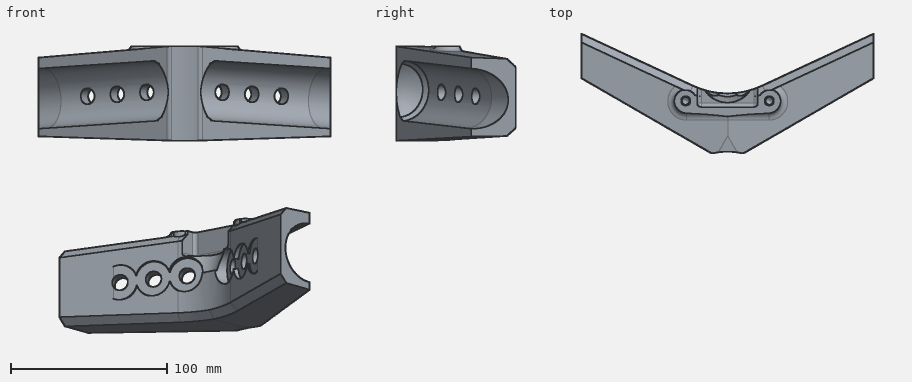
import cadquery as cq
import math

ARM_REACH = 150.0
REAR_REACH = 22.5
MARGIN = 0.2

HALF_LENGTH = 93.7
HEIGHT = 60.7
FRONT_ANGLE = math.radians(30)
BACK_ANGLE = math.radians(25)
FRONT_VERTEX_X = 10.5
REAR_TIP_Y = 76.7
REAR_ARC_RADIUS = 52.5
REAR_CHAMFER = 5.0
NOSE_CORNER_X = 10.0
NOSE_GROOVE_Y = 1.0
NOSE_FILLET = 3.7

TOP_SLOPE = math.tan(math.radians(4.2))
BOTTOM_SLOPE = math.tan(math.radians(1.6))
TAPER_START = 5.6

BORE_RADIUS = 19.3
BORE_OFFSET = 1.0
BORE_AXIS_Z = 32.6
BORE_DROP = math.radians(3.3)
BORE_START = 9.7
BORE_END_LENGTH = 3.7
BORE_END_STEP = 2.2
BORE_DOME_DEPTH = 9.7
FLARE_START = 91.5
FLARE_ANGLE = math.radians(7)

CROSS_HOLE_RADIUS = 5.0
CROSS_HOLE_FIRST = 26.5
CROSS_HOLE_PITCH = 22.0
CROSS_HOLE_COUNT = 3
COUNTERBORE_RADIUS = 11.5
COUNTERBORE_SEAT = 28.0

BOSS_X = 26.8
BOSS_Y = 33.5
BOSS_RADIUS = 7.0
BOSS_FILLET = 5.0
BOSS_COLUMN_DEPTH = 11.2
SCREW_RADIUS = 3.0
SCREW_CHAMFER = 0.5
SCREW_DEPTH = 11.2
SCREW_TIP_HALF_ANGLE = math.radians(59)

POCKET_HALF_WIDTH = 19.5
POCKET_FRONT_Y = 29.6
POCKET_DEPTH = 17.8
POCKET_FILLET = 2.6
SCOOP_RADIUS = 17.2
SCOOP_FRONT_Y = 32.5
SCOOP_FLOOR_RADIUS = 13.5
SCOOP_DEPTH = 12.2

ARM = (math.cos(FRONT_ANGLE), math.sin(FRONT_ANGLE))
INWARD = cq.Vector(-ARM[1], ARM[0], 0)


def mirrored(shape):
    """The shape together with its mirror image across x = 0."""
    return shape.union(shape.mirror("YZ"))


def right_half(shape):
    """The part of a shape on the +X side."""
    span = 4 * ARM_REACH
    half_space = cq.Workplane("XY").box(span, span, span).translate((span / 2, 0, 0))
    return shape.intersect(half_space)


def outline(rear_inset):
    """Plan prism of the boomerang, with the rear edge moved in by rear_inset."""
    apex_y = REAR_TIP_Y - HALF_LENGTH * math.tan(BACK_ANGLE) - rear_inset / math.cos(BACK_ANGLE)
    radius = REAR_ARC_RADIUS + rear_inset
    tangent_x = radius * math.sin(BACK_ANGLE)
    tangent_y = apex_y + tangent_x * math.tan(BACK_ANGLE)
    arc_y = apex_y + radius * (1 / math.cos(BACK_ANGLE) - 1)
    end_y = apex_y + HALF_LENGTH * math.tan(BACK_ANGLE)
    front_slope = math.tan(FRONT_ANGLE)
    front_end_y = (HALF_LENGTH - FRONT_VERTEX_X) * front_slope
    nose_y = (NOSE_CORNER_X - FRONT_VERTEX_X) * front_slope
    prism = (
        cq.Workplane("XY")
        .moveTo(-NOSE_CORNER_X, nose_y)
        .threePointArc((0, NOSE_GROOVE_Y), (NOSE_CORNER_X, nose_y))
        .lineTo(HALF_LENGTH, front_end_y)
        .lineTo(HALF_LENGTH, end_y)
        .lineTo(tangent_x, tangent_y)
        .threePointArc((0, arc_y), (-tangent_x, tangent_y))
        .lineTo(-HALF_LENGTH, end_y)
        .lineTo(-HALF_LENGTH, front_end_y)
        .close()
        .extrude(HEIGHT)
    )
    nose_edges = cq.selectors.BoxSelector(
        (-NOSE_CORNER_X - MARGIN, nose_y - MARGIN, -MARGIN),
        (NOSE_CORNER_X + MARGIN, nose_y + MARGIN, HEIGHT + MARGIN),
    )
    return prism.edges("|Z").edges(nose_edges).fillet(NOSE_FILLET)


def taper_wedge(edge_z, slope):
    """Wedge removed outside one sloping face of the +X arm."""
    run = ARM_REACH - TAPER_START
    side = cq.Plane(origin=(0, 0, 0), xDir=(ARM[0], ARM[1], 0), normal=(ARM[1], -ARM[0], 0))
    return (
        cq.Workplane(side)
        .moveTo(TAPER_START, edge_z)
        .lineTo(ARM_REACH, edge_z + slope * run)
        .lineTo(ARM_REACH, edge_z)
        .close()
        .extrude(ARM_REACH, both=True)
    )


def tapered(prism):
    """Cut the sloping top and bottom faces of both arms."""
    for wedge in (taper_wedge(HEIGHT, -TOP_SLOPE), taper_wedge(0, BOTTOM_SLOPE)):
        prism = prism.cut(mirrored(right_half(wedge)))
    return prism


def rear_chamfered(body):
    """Chamfer the top and bottom edges of the rear faces."""
    rear_edges = cq.selectors.BoxSelector(
        (MARGIN, REAR_TIP_Y / 2, -MARGIN),
        (HALF_LENGTH - MARGIN, REAR_TIP_Y, HEIGHT + MARGIN),
    )
    half = right_half(body)
    return mirrored(half.edges("not |Z").edges(rear_edges).chamfer(REAR_CHAMFER))


def at_boss_centers(z):
    """Workplane at height z with both boss centres on its stack."""
    return cq.Workplane("XY").workplane(offset=z).pushPoints([(-BOSS_X, BOSS_Y), (BOSS_X, BOSS_Y)])


def boss_pad():
    """Raised pad joining the two bosses, blended into the sloping top by a concave fillet."""
    blank = tapered(outline(-2 * BOSS_RADIUS))
    wall_height = HEIGHT / 2
    bridge = (
        cq.Workplane("XY")
        .workplane(offset=wall_height)
        .center(0, BOSS_Y)
        .slot2D(2 * (BOSS_X + BOSS_RADIUS), 2 * BOSS_RADIUS)
        .extrude(HEIGHT)
    )
    blended = blank.union(bridge)
    foot_zone = cq.selectors.BoxSelector(
        (-BOSS_X - BOSS_RADIUS - MARGIN, BOSS_Y - BOSS_RADIUS - MARGIN, wall_height),
        (BOSS_X + BOSS_RADIUS + MARGIN, BOSS_Y + BOSS_RADIUS + MARGIN, HEIGHT + MARGIN),
    )
    blended = blended.edges("not |Z").edges(foot_zone).fillet(BOSS_FILLET)
    return blended.intersect(outline(REAR_CHAMFER))


def boss_columns():
    """Round boss walls standing on the rear chamfer."""
    return at_boss_centers(HEIGHT - BOSS_COLUMN_DEPTH).circle(BOSS_RADIUS).extrude(BOSS_COLUMN_DEPTH)


def trough_plane():
    """Plane along the +X trough: x runs down the arm on the bore axis, z points into the arm."""
    start = cq.Vector(FRONT_VERTEX_X, 0, BORE_AXIS_Z) - INWARD * BORE_OFFSET
    level = math.cos(BORE_DROP)
    along = cq.Vector(ARM[0] * level, ARM[1] * level, -math.sin(BORE_DROP))
    return cq.Plane(origin=start, xDir=along, normal=INWARD)


def trough():
    """Cutter for the +X trough: domed inner end, straight bore and flared outer end."""
    plane = trough_plane()
    ring_radius = BORE_RADIUS - BORE_END_STEP
    ring_x = BORE_START - BORE_END_LENGTH
    tip_x = BORE_START - BORE_DOME_DEPTH
    dome_mid = (tip_x + (ring_x - tip_x) / 4, ring_radius / 2)
    bore = (
        cq.Workplane(plane)
        .moveTo(tip_x, 0)
        .threePointArc(dome_mid, (ring_x, ring_radius))
        .lineTo(BORE_START, BORE_RADIUS)
        .lineTo(ARM_REACH, BORE_RADIUS)
        .lineTo(ARM_REACH, 0)
        .close()
        .revolve(360, (0, 0, 0), (1, 0, 0))
    )
    flare_axis = plane.xDir * math.cos(FLARE_ANGLE) + plane.zDir * math.sin(FLARE_ANGLE)
    flare_plane = cq.Plane(origin=plane.toWorldCoords((FLARE_START, 0, 0)), normal=flare_axis)
    flare = cq.Workplane(flare_plane).circle(BORE_RADIUS).extrude(ARM_REACH - FLARE_START)
    return bore.union(flare)


def cross_holes():
    """Row of +X arm holes from the trough through the arm, counterbored from the rear."""
    axis_level = cq.Workplane(trough_plane())
    seat_level = axis_level.workplane(offset=BORE_OFFSET + COUNTERBORE_SEAT)
    centers = [(CROSS_HOLE_FIRST + i * CROSS_HOLE_PITCH, 0) for i in range(CROSS_HOLE_COUNT)]
    holes = axis_level.pushPoints(centers).circle(CROSS_HOLE_RADIUS).extrude(COUNTERBORE_SEAT + REAR_REACH)
    for center in centers:
        counterbore = seat_level.moveTo(*center).circle(COUNTERBORE_RADIUS).extrude(REAR_REACH)
        holes = holes.union(counterbore)
    return holes


def screw_hole():
    """Blind hole in the +X boss with a drill-point bottom and a chamfered mouth."""
    bottom_z = HEIGHT - SCREW_DEPTH
    hole_radius = SCREW_RADIUS - SCREW_CHAMFER
    tip_z = bottom_z - hole_radius / math.tan(SCREW_TIP_HALF_ANGLE)
    hole = (
        cq.Workplane("XZ")
        .moveTo(0, tip_z)
        .lineTo(hole_radius, bottom_z)
        .lineTo(hole_radius, HEIGHT - SCREW_CHAMFER)
        .lineTo(SCREW_RADIUS, HEIGHT)
        .lineTo(0, HEIGHT)
        .close()
        .revolve(360, (0, 0, 0), (0, 1, 0))
    )
    return hole.translate((BOSS_X, BOSS_Y, 0))


def rear_pocket():
    """Pocket open to the top and rear, with a conical scoop in its floor."""
    floor_z = HEIGHT - POCKET_DEPTH
    pocket = (
        cq.Workplane("XY")
        .box(2 * POCKET_HALF_WIDTH, REAR_TIP_Y, 2 * POCKET_DEPTH, centered=(True, False, False))
        .translate((0, POCKET_FRONT_Y, floor_z))
        .edges("(|Z and <Y) or <Z")
        .fillet(POCKET_FILLET)
    )
    scoop_y = SCOOP_FRONT_Y + SCOOP_RADIUS
    scoop_base = cq.Vector(0, scoop_y, floor_z - SCOOP_DEPTH)
    scoop = cq.Solid.makeCone(SCOOP_FLOOR_RADIUS, SCOOP_RADIUS, SCOOP_DEPTH, pnt=scoop_base)
    return pocket.union(cq.Workplane(scoop))


body = rear_chamfered(tapered(outline(0)))
body = body.union(boss_columns()).union(boss_pad())
body = body.cut(mirrored(trough())).cut(mirrored(cross_holes()))
result = body.cut(rear_pocket()).cut(mirrored(screw_hole()))